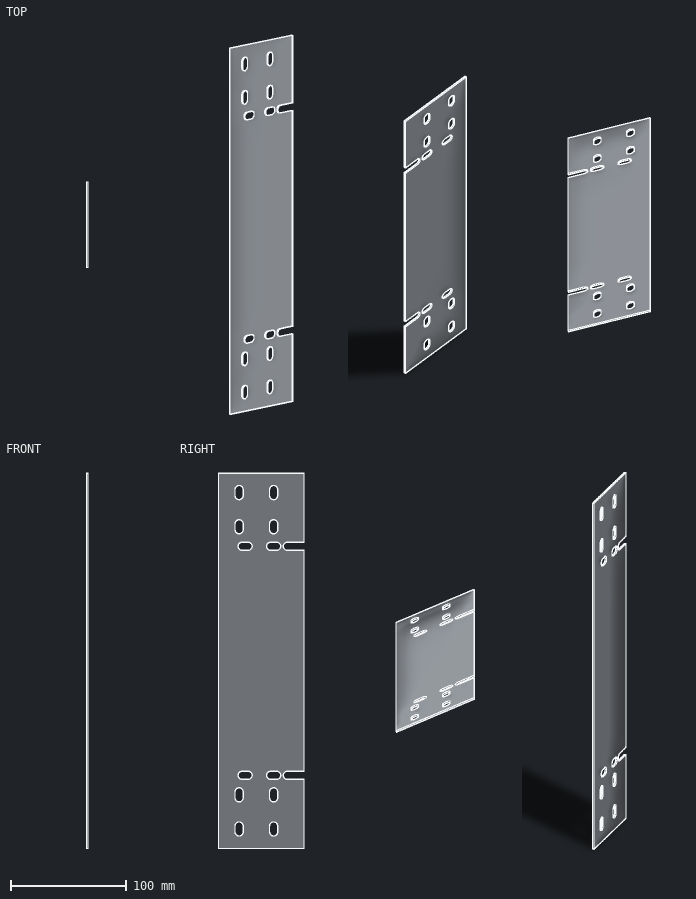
import cadquery as cq

thickness = 1.5
width = 74.3
height = 326.0

slot_width = 7.0
slot_length = 12.0

upright_columns = (26.5, 56.5)
upright_rows = (17.0, 46.5)

cross_columns = (26.5, 51.2)
cross_row = 63.5
notch_depth = 18.0

edge_y = width / 2
end_z = height / 2


def slot_cutter(centers, length, angle):
    """Round-ended cutters through the plate; angle 0 lies along Y, 90 along Z."""
    return (
        cq.Workplane("YZ")
        .pushPoints(centers)
        .slot2D(length, slot_width, angle)
        .extrude(thickness, both=True)
    )


plate = cq.Workplane("XY").box(thickness, width, height)

for end in (1, -1):
    upright_centers = [
        (edge_y - column, end * (end_z - row))
        for column in upright_columns
        for row in upright_rows
    ]
    cross_z = end * (end_z - cross_row)
    cross_centers = [(edge_y - column, cross_z) for column in cross_columns]

    plate = plate.cut(slot_cutter(upright_centers, slot_length, 90))
    plate = plate.cut(slot_cutter(cross_centers, slot_length, 0))

    plate = plate.cut(slot_cutter([(edge_y, cross_z)], 2 * notch_depth, 0))

result = plate